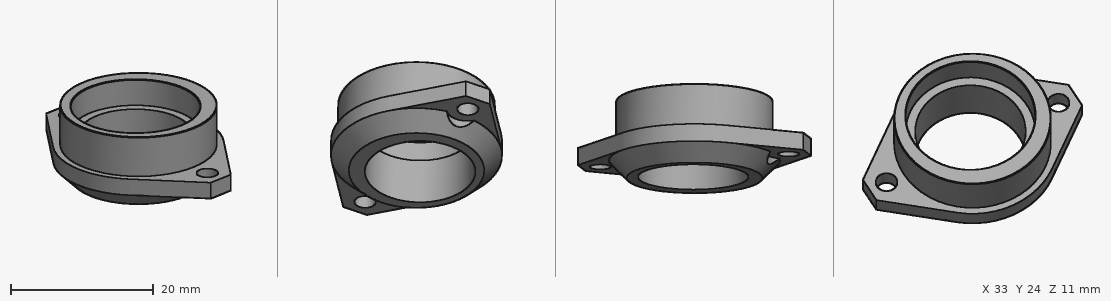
import cadquery as cq
import math

length = 32.98
width = 24.0
height = 11.0

flange_bottom = 2.5
flange_thickness = 2.47
flange_radius = width / 2
end_flat_width = 3.92

collar_diameter = 22.03
bore_diameter = 15.5
seat_diameter = 18.15
seat_depth = 4.0
opening_offset = 0.6
rim_chamfer = 0.1

hole_diameter = 3.0
hole_spacing = 27.57
head_clearance_diameter = 6.0


def cylinder(diameter, bottom, depth):
    return cq.Workplane("XY").workplane(offset=bottom).circle(diameter / 2).extrude(depth)


def make_flange():
    """Round plate with straight sides running tangentially to two flat ends."""
    end_x = length / 2
    end_y = end_flat_width / 2
    corner_angle = math.atan2(end_y, end_x)
    tangent_angle = corner_angle + math.acos(flange_radius / math.hypot(end_x, end_y))
    tangent_x = flange_radius * math.cos(tangent_angle)
    tangent_y = flange_radius * math.sin(tangent_angle)
    return (
        cq.Workplane("XY")
        .workplane(offset=flange_bottom)
        .moveTo(end_x, -end_y)
        .lineTo(end_x, end_y)
        .lineTo(tangent_x, tangent_y)
        .threePointArc((0, flange_radius), (-tangent_x, tangent_y))
        .lineTo(-end_x, end_y)
        .lineTo(-end_x, -end_y)
        .lineTo(-tangent_x, -tangent_y)
        .threePointArc((0, -flange_radius), (tangent_x, -tangent_y))
        .close()
        .extrude(flange_thickness)
    )


def make_cone():
    """45 degree cone below the flange, relieved around the screw heads."""
    small_radius = flange_radius - flange_bottom
    cone = cq.Workplane("XY").circle(small_radius).extrude(flange_bottom, taper=-45)
    for side in (-1, 1):
        clearance = cylinder(head_clearance_diameter, 0, flange_bottom)
        cone = cone.cut(clearance.translate((side * hole_spacing / 2, 0, 0)))
    return cone


collar = cylinder(collar_diameter, flange_bottom, height - flange_bottom)
body = make_flange().union(make_cone()).union(collar)

bore = cylinder(bore_diameter, 0, height)
seat = cylinder(seat_diameter, height - seat_depth, seat_depth)
body = body.cut(bore.union(seat).translate((0, -opening_offset, 0)))

body = body.faces(">Z").edges().chamfer(rim_chamfer)

for side in (-1, 1):
    hole = cylinder(hole_diameter, flange_bottom, flange_thickness)
    body = body.cut(hole.translate((side * hole_spacing / 2, 0, 0)))

result = body